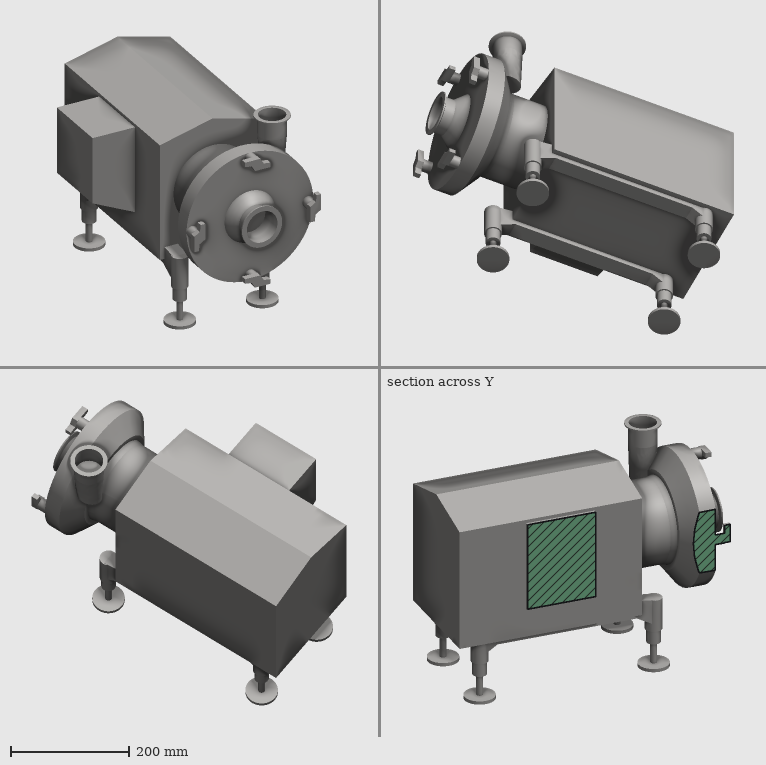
import cadquery as cq


total_length = 511.0
total_width = 306.0
total_height = 380.0
axis_height = 230.0

housing_length = 335.5
housing_width = 203.5
housing_bottom = 110.5
eave_height = 330.5
ridge_height = 356.0

neck_radius = 150.0 / 2
collar_start = 399.0
collar_end_radius = 77.5
cone_start = 411.0
cone_start_radius = 87.0
drum_start = 438.0
drum_end = 468.0
drum_radius = 245.0 / 2

box_start = 122.0
box_length = 126.0
box_face_y = drum_radius - total_width
box_top = 324.5
box_front_bottom = 199.5
box_wall_bottom = 161.5

cap_radius = 49.0
inlet_pipe_start = 488.0
inlet_pipe_radius = 64.0 / 2
inlet_bore_diameter = 59.5
inlet_flange_radius = 77.5 / 2

outlet_x = 411.0
outlet_y = 74.0
outlet_pipe_bottom = 344.0
outlet_pipe_radius = 50.5 / 2
outlet_bore_diameter = 48.0
outlet_flange_radius = 63.5 / 2
outlet_foot_bottom = 276.0
outlet_foot_radius_x = 24.0
outlet_foot_radius_y = 18.5

flange_rim = 2.5
flange_bevel = 2.5

knob_count = 4
knob_pin_diameter = 21.0
knob_pin_end = 484.5
wing_end = 495.5
wing_half_span = 24.5
wing_thickness = 8.5
wing_lean = 1.5
wing_bend_near = 5.0
wing_bend_far = 12.0

leg_x_positions = (46.0, 366.0)
leg_offset = 79.5
pad_diameter = 55.0
pad_top = 6.0
rod_diameter = 12.0
rod_top = 45.0
sleeve_diameter = 25.0
sleeve_top = 70.0
tube_diameter = 30.0
tube_top = 129.0

beam_width = 25.5
beam_bottom = 100.5
back_gusset_bottom = 83.5
back_gusset_run = 27.5
front_gusset_bottom = 80.5
front_gusset_run = 36.5
beam_end_top = 129.0
beam_housing_top = 133.0


def make_housing():
    half_width = housing_width / 2
    return (
        cq.Workplane("YZ")
        .moveTo(-half_width, housing_bottom)
        .lineTo(half_width, housing_bottom)
        .lineTo(half_width, eave_height)
        .lineTo(0, ridge_height)
        .lineTo(-half_width, eave_height)
        .close()
        .extrude(housing_length)
    )


def make_control_box():
    return (
        cq.Workplane("YZ")
        .workplane(offset=box_start)
        .moveTo(0, box_top)
        .lineTo(box_face_y, box_top)
        .lineTo(box_face_y, box_front_bottom)
        .lineTo(-housing_width / 2, box_wall_bottom)
        .lineTo(0, box_wall_bottom)
        .close()
        .extrude(box_length)
    )


def make_pump_body():
    """Neck, collar, drum, cap, inlet pipe and flange, turned about the pump axis."""
    rim_start = total_length - flange_rim
    neck_root = housing_length / 2
    profile = [
        (neck_root, 0),
        (neck_root, neck_radius),
        (collar_start, neck_radius),
        (cone_start, collar_end_radius),
        (cone_start, cone_start_radius),
        (drum_start, drum_radius),
        (drum_end, drum_radius),
        (drum_end, cap_radius),
        (inlet_pipe_start, inlet_pipe_radius),
        (rim_start - flange_bevel, inlet_pipe_radius),
        (rim_start, inlet_flange_radius),
        (total_length, inlet_flange_radius),
        (total_length, 0),
    ]
    return (
        cq.Workplane("XY")
        .polyline(profile)
        .close()
        .revolve(360, (0, 0, 0), (1, 0, 0))
        .translate((0, 0, axis_height))
    )


def make_inlet_bore():
    return (
        cq.Workplane("YZ", origin=(drum_end, 0, axis_height))
        .circle(inlet_bore_diameter / 2)
        .extrude(total_length - drum_end)
    )


def make_outlet():
    """Discharge pipe and flange, on a foot that blends from the pipe to an oval."""
    rim_bottom = total_height - flange_rim
    profile = [
        (0, outlet_pipe_bottom),
        (outlet_pipe_radius, outlet_pipe_bottom),
        (outlet_pipe_radius, rim_bottom - flange_bevel),
        (outlet_flange_radius, rim_bottom),
        (outlet_flange_radius, total_height),
        (0, total_height),
    ]
    pipe = (
        cq.Workplane("XZ")
        .polyline(profile)
        .close()
        .revolve(360, (0, 0, 0), (0, 1, 0))
        .translate((outlet_x, outlet_y, 0))
    )
    foot = (
        cq.Workplane("XY", origin=(outlet_x, outlet_y, outlet_foot_bottom))
        .ellipse(outlet_foot_radius_x, outlet_foot_radius_y)
        .workplane(offset=outlet_pipe_bottom - outlet_foot_bottom)
        .circle(outlet_pipe_radius)
        .loft()
    )
    return pipe.union(foot)


def make_outlet_bore():
    return (
        cq.Workplane("XY", origin=(outlet_x, outlet_y, outlet_pipe_bottom))
        .circle(outlet_bore_diameter / 2)
        .extrude(total_height - outlet_pipe_bottom)
    )


def make_knob():
    """Wing knob at the -Y edge of the drum: a round pin carrying a Z-shaped wing with tapering arms."""
    half_depth = knob_pin_diameter / 2
    pin_y = half_depth - drum_radius
    pin = (
        cq.Workplane("YZ", origin=(drum_end, pin_y, axis_height))
        .circle(half_depth)
        .extrude(knob_pin_end - drum_end)
    )
    leaning_tip = half_depth - wing_thickness
    half_outline = [
        (-half_depth, -wing_half_span),
        (-half_depth, wing_bend_near),
        (leaning_tip - wing_lean, wing_bend_far),
        (leaning_tip, wing_half_span),
    ]
    opposite_half = [(-y, -z) for y, z in half_outline]
    wing = (
        cq.Workplane("YZ", origin=(knob_pin_end, pin_y, axis_height))
        .polyline(half_outline + opposite_half)
        .close()
        .extrude(wing_end - knob_pin_end)
    )
    return pin.union(wing)


def make_leg(x, y):
    def cylinder(diameter, bottom, top):
        return cq.Workplane("XY", origin=(x, y, bottom)).circle(diameter / 2).extrude(top - bottom)

    return (
        cylinder(pad_diameter, 0, pad_top)
        .union(cylinder(rod_diameter, pad_top, rod_top))
        .union(cylinder(sleeve_diameter, rod_top, sleeve_top))
        .union(cylinder(tube_diameter, sleeve_top, tube_top))
    )


def make_beam(y):
    back, front = leg_x_positions
    outline = [
        (back, back_gusset_bottom),
        (back + back_gusset_run, beam_bottom),
        (front - front_gusset_run, beam_bottom),
        (front, front_gusset_bottom),
        (front, beam_end_top),
        (housing_length, beam_housing_top),
        (back, beam_housing_top),
    ]
    return (
        cq.Workplane("XZ", origin=(0, y + beam_width / 2, 0))
        .polyline(outline)
        .close()
        .extrude(beam_width)
    )


result = make_housing().union(make_control_box()).union(make_pump_body()).union(make_outlet())
result = result.cut(make_inlet_bore()).cut(make_outlet_bore())

for knob_index in range(knob_count):
    turn = knob_index * 360 / knob_count
    result = result.union(make_knob().rotate((0, 0, axis_height), (1, 0, axis_height), turn))

for leg_y in (-leg_offset, leg_offset):
    result = result.union(make_beam(leg_y))
    for leg_x in leg_x_positions:
        result = result.union(make_leg(leg_x, leg_y))